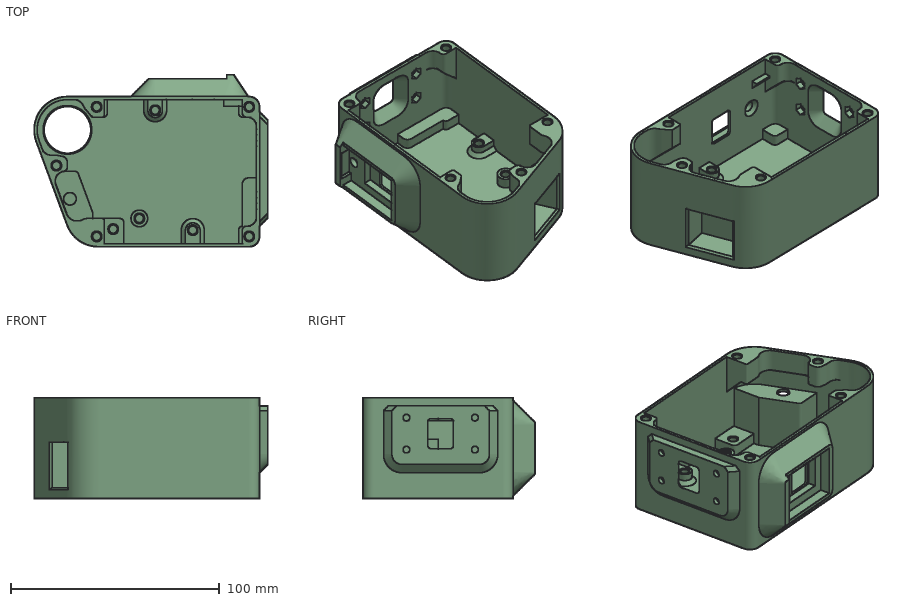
import cadquery as cq
import math

HEIGHT = 48.4
WALL = 1.5
FLOOR = 2.0
HALF_DEPTH = 36.0
RIGHT = 41.5
BIG_RADIUS = 16.0
SMALL_RADIUS = 5.0
SLANT_ANGLE = math.radians(20.3)
GLAND_X, GLAND_Y = -50.5, HALF_DEPTH - BIG_RADIUS
INNER_Y = HALF_DEPTH - WALL
INNER_RIGHT = RIGHT - WALL
EPS = 0.01
OVERRUN = 1.0

GLAND_DIAMETER = 22.3
GLAND_RIM_DIAMETER = 23.3

INSERT_DIAMETER = 4.0
INSERT_MOUTH_DIAMETER = 5.0
INSERT_DEPTH = 8.0
SCREW_X, SCREW_Y = 36.5, 31.0
LEFT_SCREW = (-55.8, 2.9)

POST_X = 33.2
LEFT_POST_X = -32.8
LEFT_POST_END_X = -38.7
LEFT_POST_SIDE_X = -50.6
LEFT_POST_UPPER_Y = 7.9
LEFT_POST_LOWER_Y = 6.9
LEFT_POST_RADIUS = 2.8
LEFT_POST_CORNER_RADIUS = 1.0
POST_CORNER_RADIUS = 2.0
POST_BLEND_RADIUS = 4.5
SWITCH_WALL = 1.8
SWITCH_HOLLOW_Y = -23.6
SWITCH_HOLLOW_END_X = -44.5
SWITCH_HOLLOW_RADIUS = 5.0
FRONT_POST_END_X = -42.0
GLAND_RELIEF_BEND = (-42.1, 30.1)
GLAND_RELIEF_X = -44.5
GLAND_RELIEF_RADIUS = 5.0
POST_Y = 26.1
FRONT_POST_Y = -22.4
POST_DEPTH = 11.0

PAD_TOP = 7.4
PAD_X = 31.4
PAD_RADIUS = 2.0
LEDGE_Y = -3.0
LEDGE_RADIUS = 3.0
FRONT_PAD_X = -23.5
FRONT_PAD_SCREW = (-28.6, -27.5)
ROUND_BOSS = (-16.1, -22.4)
ROUND_BOSS_DIAMETER = 8.0
WALL_BOSSES = [(-8.5, 29.4, 1), (9.5, -28.0, -1)]
WALL_BOSS_BASE_RADIUS = 5.5
WALL_BOSS_TOP_RADIUS = 3.5
WALL_BOSS_SKIRT = WALL_BOSS_BASE_RADIUS - WALL_BOSS_TOP_RADIUS

BOX_TOP = 28.5
BOX_UPPER_Y = 0.1
BOX_CORNER_RADIUS = 1.5
BOX_DEPTH = 13.6
BOX_END_X = -38.4
RECESS_MIDDLE = 31.1
RECESS_FRONT_WIDTH = 23.4
RECESS_BACK_WIDTH = 19.7
RECESS_DEPTH = 12.4
RECESS_BOTTOM, RECESS_TOP = 5.3, 27.1
RECESS_CHAMFER = 1.0
CABLE_HOLE = (-49.3, -13.0)
CABLE_HOLE_DIAMETER = 6.0

MID_Z = HEIGHT / 2
BACK_FACE_Y = 44.5
BACK_LIP_Y = 46.5
BACK_BASE_LEFT, BACK_BASE_RIGHT = -20.1, 36.1
BACK_TIP_LEFT, BACK_TIP_RIGHT = -9.6, 29.1
BACK_BASE_HALF_Z, BACK_TIP_HALF_Z = 22.8, 12.3
BACK_BASE_RADIUS, BACK_TIP_RADIUS = 11.35, 0.85
LIP_X = 25.7
LIP_NOTCH_TOP_Y = 45.4
LIP_NOTCH_DEPTH = 1.5
SOCKET_Y = 39.4
SOCKET_LEFT = -9.0
SOCKET_HALF_Z = 12.5
WINDOW_WEB = 1.2
CHANNEL_Y = INNER_Y + WINDOW_WEB
CHANNEL_LEFT, CHANNEL_RIGHT = -4.5, 16.0
CHANNEL_HALF_Z = 8.0
WINDOW_LEFT, WINDOW_RIGHT = -3.1, 9.2
WINDOW_BOTTOM, WINDOW_TOP = 16.4, 31.0
WINDOW_RADIUS = 1.5
BACK_SCREW_X = 23.8
BACK_SCREW_DIAMETER = 5.0
BACK_SCREW_HEAD_DIAMETER = 8.6

SIDE_TIP_X = 45.5
SIDE_TAPER = SIDE_TIP_X - RIGHT
SIDE_MIDDLE_Y = 1.25
SIDE_BASE_HALF_Y = 27.35
SIDE_BASE_BOTTOM = 12.4
SIDE_TOP = 44.4
SIDE_BASE_RADIUS = 8.9
SIDE_TOP_CHAMFER = 2.25
PORT_MIDDLE_Z = 31.15
PORT_WIDTH, PORT_HEIGHT, PORT_RADIUS = 22.2, 24.5, 6.6
PORT_TAPER = 5.0
PORT_HOLE_SPACING_Y, PORT_HOLE_SPACING_Z = 32.8, 15.3
PORT_HOLE_DIAMETER = 3.2
PORT_NUT_WIDTH = 5.5
PORT_NUT_DEPTH = 3.2

SHELF_LEFT = 24.3
SHELF_REACH = 3.1
SHELF_TOP = 39.8
SHELF_EDGE = 0.9


def slant_x(y, inset=0.0):
    """X of the slanted wall's outer face at the given Y, moved inwards by inset."""
    reach = (BIG_RADIUS - inset) / math.cos(SLANT_ANGLE)
    return GLAND_X + (GLAND_Y - y) * math.tan(SLANT_ANGLE) - reach


def rounded_polygon(corners, plane="XY"):
    """Closed outline from (x, y, radius) corners; a radius of 0 keeps the corner sharp."""
    stretches = []
    for i, (x, y, radius) in enumerate(corners):
        before = corners[i - 1]
        after = corners[(i + 1) % len(corners)]
        if radius == 0:
            stretches.append([(x, y)])
            continue
        angle_in = math.atan2(before[1] - y, before[0] - x)
        angle_out = math.atan2(after[1] - y, after[0] - x)
        half = (angle_out - angle_in) / 2
        tangent = abs(radius / math.tan(half))
        bisector = angle_in + half
        if math.cos(half) < 0:
            bisector += math.pi
        to_middle = radius / abs(math.sin(half)) - radius
        stretches.append([
            (x + tangent * math.cos(angle_in), y + tangent * math.sin(angle_in)),
            (x + to_middle * math.cos(bisector), y + to_middle * math.sin(bisector)),
            (x + tangent * math.cos(angle_out), y + tangent * math.sin(angle_out)),
        ])
    path = cq.Workplane(plane).moveTo(*stretches[0][-1])
    for stretch in stretches[1:] + stretches[:1]:
        path = path.lineTo(*stretch[0])
        if len(stretch) == 3:
            path = path.threePointArc(stretch[1], stretch[2])
    return path.close()


def box(x0, x1, y0, y1, z0, z1):
    """Axis-aligned block between the given limits."""
    return cq.Workplane("XY").box(x1 - x0, y1 - y0, z1 - z0, centered=False).translate((x0, y0, z0))


def loft(first, second):
    """Straight-sided solid between two outlines."""
    wires = [first.wires().val(), second.wires().val()]
    return cq.Workplane(obj=cq.Solid.makeLoft(wires, True))


def outline(inset):
    """Plan outline of the enclosure moved inwards by inset."""
    edge_y = HALF_DEPTH - inset
    big = BIG_RADIUS - inset
    small = SMALL_RADIUS - inset
    return rounded_polygon([
        (slant_x(-edge_y, inset), -edge_y, big),
        (RIGHT - inset, -edge_y, small),
        (RIGHT - inset, edge_y, small),
        (slant_x(edge_y, inset), edge_y, big),
    ])


def cavity(bottom, top):
    """Inside of the shell between two heights."""
    return outline(WALL).extrude(top - bottom).translate((0, 0, bottom))


def lid_posts():
    """Screw posts filling the rim corners, with 45 degree undersides towards the long walls."""
    opening = rounded_polygon([
        (LEFT_POST_X, -INNER_Y - OVERRUN, 0),
        (POST_X, -INNER_Y - OVERRUN, 0),
        (POST_X, -POST_Y, POST_CORNER_RADIUS),
        (INNER_RIGHT, -POST_Y, POST_BLEND_RADIUS),
        (INNER_RIGHT, POST_Y, POST_BLEND_RADIUS),
        (POST_X, POST_Y, POST_CORNER_RADIUS),
        (POST_X, INNER_Y + OVERRUN, 0),
        (LEFT_POST_X, INNER_Y + OVERRUN, 0),
        (LEFT_POST_X, POST_Y, LEFT_POST_CORNER_RADIUS),
        (LEFT_POST_END_X, POST_Y, 0),
        (*GLAND_RELIEF_BEND, 0),
        (GLAND_RELIEF_X, INNER_Y, GLAND_RELIEF_RADIUS),
        (slant_x(INNER_Y, WALL), INNER_Y, BIG_RADIUS - WALL),
        (slant_x(LEFT_POST_UPPER_Y, WALL), LEFT_POST_UPPER_Y, POST_BLEND_RADIUS),
        (LEFT_SCREW[0], LEFT_POST_UPPER_Y, 0),
        (LEFT_POST_SIDE_X, LEFT_POST_LOWER_Y, LEFT_POST_RADIUS),
        (LEFT_POST_SIDE_X, BOX_UPPER_Y, POST_CORNER_RADIUS),
        (slant_x(BOX_UPPER_Y, SWITCH_WALL), BOX_UPPER_Y, POST_BLEND_RADIUS),
        (slant_x(SWITCH_HOLLOW_Y, SWITCH_WALL), SWITCH_HOLLOW_Y, SWITCH_HOLLOW_RADIUS),
        (SWITCH_HOLLOW_END_X, SWITCH_HOLLOW_Y, POST_BLEND_RADIUS),
        (FRONT_POST_END_X, FRONT_POST_Y, POST_BLEND_RADIUS),
        (LEFT_POST_X, FRONT_POST_Y, LEFT_POST_CORNER_RADIUS),
    ]).extrude(HEIGHT)
    straight_end = HEIGHT - POST_DEPTH
    slope_end = straight_end - (INNER_Y - POST_Y)
    section = [
        (-INNER_Y, HEIGHT),
        (-INNER_Y, slope_end),
        (-POST_Y, straight_end),
        (POST_Y, straight_end),
        (INNER_Y, slope_end),
        (INNER_Y, HEIGHT),
    ]
    reach = abs(slant_x(HALF_DEPTH))
    rim_zone = cq.Workplane("YZ").polyline(section).close().extrude(reach, both=True)
    return cavity(FLOOR, HEIGHT).cut(opening).intersect(rim_zone)


def floor_pads():
    """Low corner pads and the ledge beside the right wall."""
    base = FLOOR - EPS
    pads = cq.Workplane("XY")
    for side in (1, -1):
        pad = box(PAD_X, RIGHT, POST_Y, HALF_DEPTH, base, PAD_TOP)
        pad = pad.edges("|Z and <X and <Y").fillet(PAD_RADIUS)
        if side < 0:
            pad = pad.mirror("XZ")
        pads = pads.add(pad)
    left_pad = box(LEFT_POST_END_X, -PAD_X, POST_Y, HALF_DEPTH, base, PAD_TOP)
    pads = pads.add(left_pad.edges("|Z and >X and <Y").fillet(PAD_RADIUS))
    ledge = box(POST_X, RIGHT, -HALF_DEPTH, LEDGE_Y, base, PAD_TOP)
    pads = pads.add(ledge.edges("|Z and <X and >Y").fillet(LEDGE_RADIUS))
    front_pad = box(slant_x(-HALF_DEPTH), FRONT_PAD_X, -HALF_DEPTH, FRONT_POST_Y, base, PAD_TOP)
    pads = pads.add(front_pad.edges("|Z and >X and >Y").fillet(PAD_RADIUS))
    return pads.combine().intersect(cavity(base, PAD_TOP))


def wall_boss_outline(x, y, side, radius, z):
    """U-shaped outline of a wall boss, open end against the wall."""
    wall_y = side * (INNER_Y + WALL / 2)
    return (
        cq.Workplane("XY", origin=(0, 0, z))
        .moveTo(x - radius, wall_y)
        .lineTo(x - radius, y)
        .threePointArc((x, y - side * radius), (x + radius, y))
        .lineTo(x + radius, wall_y)
        .close()
    )


def switch_box():
    """Solid block behind the slanted wall that the switch recess is cut into."""
    def back_x(y):
        return slant_x(y, BOX_DEPTH)

    end_y = GLAND_Y - (BOX_END_X - back_x(GLAND_Y)) / math.tan(SLANT_ANGLE)
    block = rounded_polygon([
        (slant_x(-HALF_DEPTH), -HALF_DEPTH, 0),
        (BOX_END_X, -HALF_DEPTH, 0),
        (BOX_END_X, end_y, 0),
        (back_x(BOX_UPPER_Y), BOX_UPPER_Y, BOX_CORNER_RADIUS),
        (slant_x(BOX_UPPER_Y), BOX_UPPER_Y, 0),
    ]).extrude(BOX_TOP)
    return block.intersect(cavity(FLOOR - EPS, BOX_TOP))


def switch_recess():
    """Tapered recess entering square to the slanted wall, chamfered at its sides and bottom."""
    start = (
        GLAND_X - BIG_RADIUS * math.cos(SLANT_ANGLE),
        GLAND_Y - BIG_RADIUS * math.sin(SLANT_ANGLE),
        0,
    )
    down_slant = (math.sin(SLANT_ANGLE), -math.cos(SLANT_ANGLE), 0)
    outward = (-math.cos(SLANT_ANGLE), -math.sin(SLANT_ANGLE), 0)
    face = cq.Plane(origin=start, xDir=down_slant, normal=outward)

    def section(width, bottom, depth):
        return (
            cq.Workplane(face)
            .workplane(offset=-depth)
            .center(RECESS_MIDDLE, (bottom + RECESS_TOP) / 2)
            .rect(width, RECESS_TOP - bottom)
        )

    front = section(RECESS_FRONT_WIDTH, RECESS_BOTTOM, 0)
    back = section(RECESS_BACK_WIDTH, RECESS_BOTTOM, RECESS_DEPTH)
    chamfer_growth = 2 * RECESS_CHAMFER
    outer = section(RECESS_FRONT_WIDTH + 2 * chamfer_growth, RECESS_BOTTOM - chamfer_growth, -RECESS_CHAMFER)
    inner = section(RECESS_FRONT_WIDTH, RECESS_BOTTOM, RECESS_CHAMFER)
    return loft(front, back).union(loft(outer, inner))


def xz_rectangle(left, right, bottom, top, radius, y):
    """Rounded rectangle in a vertical plane at the given Y."""
    corners = [(left, bottom, radius), (right, bottom, radius), (right, top, radius), (left, top, radius)]
    return rounded_polygon(corners, cq.Plane(origin=(0, y, 0), xDir=(1, 0, 0), normal=(0, -1, 0)))


def back_housing():
    """Tapered housing on the +Y wall with a raised lip at its right end."""
    base = xz_rectangle(
        BACK_BASE_LEFT, BACK_BASE_RIGHT, MID_Z - BACK_BASE_HALF_Z, MID_Z + BACK_BASE_HALF_Z,
        BACK_BASE_RADIUS, HALF_DEPTH,
    )
    tip = xz_rectangle(
        BACK_TIP_LEFT, BACK_TIP_RIGHT, MID_Z - BACK_TIP_HALF_Z, MID_Z + BACK_TIP_HALF_Z,
        BACK_TIP_RADIUS, BACK_LIP_Y,
    )
    step = box(BACK_BASE_LEFT, LIP_X, BACK_FACE_Y, BACK_LIP_Y + OVERRUN, 0, HEIGHT)
    return loft(base, tip).cut(step)


def back_openings():
    """Socket, channel, window, lip notch and countersunk screw hole of the back housing."""
    socket = box(SOCKET_LEFT, LIP_X, SOCKET_Y, BACK_LIP_Y, MID_Z - SOCKET_HALF_Z, MID_Z + SOCKET_HALF_Z)
    low, high = MID_Z - CHANNEL_HALF_Z, MID_Z + CHANNEL_HALF_Z
    channel = box(CHANNEL_LEFT, CHANNEL_RIGHT, CHANNEL_Y, SOCKET_Y + EPS, low, high)
    notch = box(LIP_X - EPS, LIP_X + LIP_NOTCH_DEPTH, SOCKET_Y, LIP_NOTCH_TOP_Y, low, high)
    window = xz_rectangle(
        WINDOW_LEFT, WINDOW_RIGHT, WINDOW_BOTTOM, WINDOW_TOP, WINDOW_RADIUS, INNER_Y - OVERRUN,
    ).extrude(-(CHANNEL_Y - INNER_Y + OVERRUN + EPS))
    screw_point = cq.Vector(BACK_SCREW_X, INNER_Y, MID_Z)
    outwards = cq.Vector(0, 1, 0)
    shank_radius = BACK_SCREW_DIAMETER / 2
    head_radius = BACK_SCREW_HEAD_DIAMETER / 2
    shank = cq.Solid.makeCylinder(shank_radius, SOCKET_Y - INNER_Y + EPS, screw_point, outwards)
    head = cq.Solid.makeCone(head_radius, shank_radius, head_radius - shank_radius, screw_point, outwards)
    return socket.union(channel).union(notch).union(window).union(shank).union(head)


def side_housing():
    """Tapered housing on the +X wall: flat chamfered top, rounded lower corners."""
    def section(x, shrink):
        half_y = SIDE_BASE_HALF_Y - shrink
        bottom = SIDE_BASE_BOTTOM + shrink
        radius = SIDE_BASE_RADIUS - shrink
        shoulder = SIDE_TOP - SIDE_TOP_CHAMFER
        top_half_y = half_y - SIDE_TOP_CHAMFER
        return rounded_polygon([
            (SIDE_MIDDLE_Y - half_y, bottom, radius),
            (SIDE_MIDDLE_Y + half_y, bottom, radius),
            (SIDE_MIDDLE_Y + half_y, shoulder, 0),
            (SIDE_MIDDLE_Y + top_half_y, SIDE_TOP, 0),
            (SIDE_MIDDLE_Y - top_half_y, SIDE_TOP, 0),
            (SIDE_MIDDLE_Y - half_y, shoulder, 0),
        ], cq.Plane.YZ(origin=(x, 0, 0)))

    return loft(section(RIGHT, 0), section(SIDE_TIP_X, SIDE_TAPER))


def side_openings():
    """Funnel-shaped port and its four mounting holes with hexagonal nut traps through the +X wall."""
    def section(x, shrink):
        half_y = PORT_WIDTH / 2 - shrink
        half_z = PORT_HEIGHT / 2 - shrink
        radius = PORT_RADIUS - shrink
        return rounded_polygon([
            (SIDE_MIDDLE_Y + sy * half_y, PORT_MIDDLE_Z + sz * half_z, radius)
            for sy, sz in ((-1, -1), (1, -1), (1, 1), (-1, 1))
        ], cq.Plane.YZ(origin=(x, 0, 0)))

    port = loft(section(INNER_RIGHT, 0), section(SIDE_TIP_X, PORT_TAPER))
    positions = (
        cq.Workplane("YZ", origin=(INNER_RIGHT - EPS, SIDE_MIDDLE_Y, PORT_MIDDLE_Z))
        .rarray(PORT_HOLE_SPACING_Y, PORT_HOLE_SPACING_Z, 2, 2)
    )
    holes = positions.circle(PORT_HOLE_DIAMETER / 2).extrude(SIDE_TIP_X - INNER_RIGHT + OVERRUN)
    nut_traps = positions.polygon(6, PORT_NUT_WIDTH, circumscribed=True).extrude(PORT_NUT_DEPTH)
    return port.union(holes).union(nut_traps)


def wall_shelf():
    """Short shelf with a 45 degree underside between the back wall and the back right post."""
    front_y = INNER_Y - SHELF_REACH
    lip_bottom = SHELF_TOP - SHELF_EDGE
    back_y = INNER_Y + WALL / 2
    section = [
        (back_y, SHELF_TOP),
        (front_y, SHELF_TOP),
        (front_y, lip_bottom),
        (back_y, lip_bottom - (back_y - front_y)),
    ]
    return (
        cq.Workplane("YZ", origin=(SHELF_LEFT, 0, 0))
        .polyline(section)
        .close()
        .extrude(POST_X - SHELF_LEFT + OVERRUN)
    )


def insert_hole(x, y, top, depth):
    """Blind insert hole with a chamfered mouth."""
    down = cq.Vector(0, 0, -1)
    mouth = cq.Vector(x, y, top)
    radius = INSERT_DIAMETER / 2
    mouth_radius = INSERT_MOUTH_DIAMETER / 2
    bore = cq.Solid.makeCylinder(radius, depth, mouth, down)
    lead_in = cq.Solid.makeCone(mouth_radius, radius, mouth_radius - radius, mouth, down)
    return cq.Workplane(obj=bore).union(cq.Workplane(obj=lead_in))


def gland_opening():
    """Through hole in the floor, chamfered on the inside."""
    up = cq.Vector(0, 0, 1)
    radius = GLAND_DIAMETER / 2
    rim_radius = GLAND_RIM_DIAMETER / 2
    chamfer = rim_radius - radius
    bore = cq.Solid.makeCylinder(radius, FLOOR, cq.Vector(GLAND_X, GLAND_Y, 0), up)
    rim = cq.Solid.makeCone(radius, rim_radius, chamfer, cq.Vector(GLAND_X, GLAND_Y, FLOOR - chamfer), up)
    return cq.Workplane(obj=bore).union(cq.Workplane(obj=rim))


body = outline(0).extrude(HEIGHT).union(back_housing()).union(side_housing())
body = body.cut(cavity(FLOOR, HEIGHT))
body = body.union(switch_box()).union(lid_posts()).union(floor_pads()).union(wall_shelf())
for boss_x, boss_y, boss_side in WALL_BOSSES:
    boss_base = wall_boss_outline(boss_x, boss_y, boss_side, WALL_BOSS_BASE_RADIUS, FLOOR)
    boss_waist = wall_boss_outline(boss_x, boss_y, boss_side, WALL_BOSS_TOP_RADIUS, FLOOR + WALL_BOSS_SKIRT)
    body = body.union(loft(boss_base, boss_waist))
    body = body.union(boss_waist.extrude(PAD_TOP - FLOOR - WALL_BOSS_SKIRT))
body = body.union(cq.Workplane("XY").center(*ROUND_BOSS).circle(ROUND_BOSS_DIAMETER / 2).extrude(PAD_TOP))

body = body.cut(gland_opening()).cut(switch_recess()).cut(back_openings()).cut(side_openings())
cable_hole = cq.Workplane("XY", origin=(0, 0, RECESS_TOP - OVERRUN)).center(*CABLE_HOLE)
body = body.cut(cable_hole.circle(CABLE_HOLE_DIAMETER / 2).extrude(BOX_TOP - RECESS_TOP + 2 * OVERRUN))

lid_screws = [(sx * SCREW_X, sy * SCREW_Y) for sx in (-1, 1) for sy in (-1, 1)] + [LEFT_SCREW]
for hole_x, hole_y in lid_screws:
    body = body.cut(insert_hole(hole_x, hole_y, HEIGHT, INSERT_DEPTH))
pad_screws = [FRONT_PAD_SCREW, ROUND_BOSS] + [boss[:2] for boss in WALL_BOSSES]
for hole_x, hole_y in pad_screws:
    body = body.cut(insert_hole(hole_x, hole_y, PAD_TOP, PAD_TOP - FLOOR))

result = body